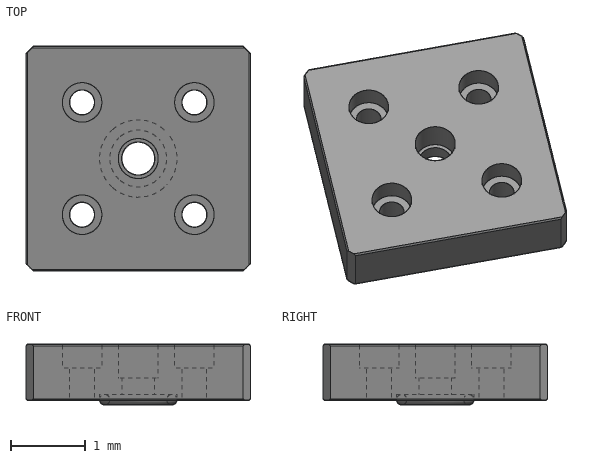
import cadquery as cq

plate_side = 3.0
plate_height = 0.75
corner_chamfer = 0.1
edge_chamfer = 0.02

hole_spacing = 1.5
hole_diameter = 0.33
counterbore_diameter = 0.528
counterbore_depth = 0.315

port_diameter = 0.535
port_depth = 0.45
bore_diameter = 0.438

ring_outer_diameter = 1.035
ring_section_diameter = 0.138
ring_protrusion = 0.06
recess_depth = ring_section_diameter - ring_protrusion


def make_bevelled_block():
    """Square block with chamfered upright corners and bevelled top and bottom side edges."""
    block = (
        cq.Workplane("XY")
        .rect(plate_side, plate_side)
        .extrude(plate_height)
        .faces("<Z or >Z")
        .edges()
        .chamfer(edge_chamfer)
    )
    corner_prism = (
        cq.Workplane("XY")
        .rect(plate_side, plate_side)
        .extrude(plate_height)
        .edges("|Z")
        .chamfer(corner_chamfer)
    )
    return block.intersect(corner_prism)


def make_plate():
    """Plate with four counterbored holes, a stepped central port and an O-ring recess underneath."""
    drilled_plate = (
        make_bevelled_block()
        .faces(">Z")
        .workplane(origin=(0, 0, plate_height))
        .rect(hole_spacing, hole_spacing, forConstruction=True)
        .vertices()
        .cboreHole(hole_diameter, counterbore_diameter, counterbore_depth)
    )
    ported_plate = (
        drilled_plate.faces(">Z")
        .workplane(origin=(0, 0, plate_height))
        .cboreHole(bore_diameter, port_diameter, port_depth)
    )
    recess = cq.Workplane("XY").circle(ring_outer_diameter / 2).extrude(recess_depth)
    return ported_plate.cut(recess)


def make_o_ring():
    """Round-section ring that touches the recess roof and wall and protrudes below the plate."""
    section_radius = ring_section_diameter / 2
    section_center_radius = ring_outer_diameter / 2 - section_radius
    section_center_height = recess_depth - section_radius
    return (
        cq.Workplane("XZ")
        .center(section_center_radius, section_center_height)
        .circle(section_radius)
        .revolve(360, (-section_center_radius, 0), (-section_center_radius, 1))
    )


plate = make_plate()
o_ring = make_o_ring()

result = cq.Compound.makeCompound([plate.val(), o_ring.val()])